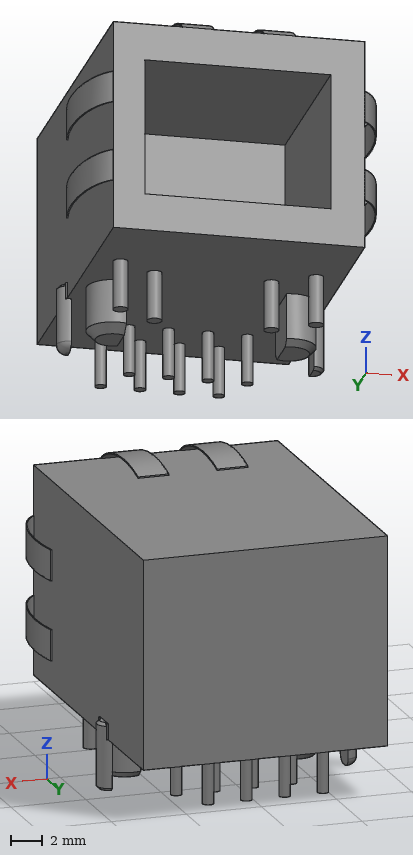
import cadquery as cq
import math

BODY_WIDTH = 16.25
BODY_DEPTH = 21.6
BODY_HEIGHT = 13.85

OPENING_WIDTH = 12.03
OPENING_HEIGHT = 9.02
OPENING_DEPTH = 12.95
OPENING_BASE = 2.42
OPENING_OFFSET = -0.09

FINGER_WIDTH = 2.05
FINGER_PITCH = 5.27
FINGER_LENGTH = 7.36
FINGER_THICKNESS = 0.09
FINGER_LONG_RADIUS = 5.27
TOP_FINGER_RISE = 1.27
TOP_FINGER_PEAK = 4.6
SIDE_FINGER_RISE = 1.6
SIDE_FINGER_PEAK = 5.0
SIDE_FINGER_CENTRE = 6.87

PEG_RADIUS = 1.68
PEG_FLAT = 0.55
PEG_X = 5.72
PEG_Y = 10.8
LEFT_PEG_CHAMFER = 0.58
RIGHT_PEG_CHAMFER = 0.4
PEG_LENGTH = 3.43

SHIELD_RADIUS = 0.78
SHIELD_FLAT_X = BODY_WIDTH / 2 - 0.28
SHIELD_Y = 13.88
SHIELD_TOP = 1.05
SHIELD_CHAMFER = 0.2
LEFT_SHIELD_FILLET = 0.58
PAD_WIDTH = 1.65
PAD_THICKNESS = 0.09

PIN_LENGTH = 3.22
SIGNAL_DIAMETER = 0.73
SIGNAL_COUNT = 8
SIGNAL_PITCH = 1.27
SIGNAL_ROWS = (19.7, 17.19)
LAMP_DIAMETER = 0.95
LAMP_OUTER_X = 6.33
LAMP_INNER_X = 3.78
LAMP_OUTER_Y = 5.9
LAMP_INNER_Y = 7.43


def housing():
    body = cq.Workplane("XY").box(
        BODY_WIDTH, BODY_DEPTH, BODY_HEIGHT, centered=(True, False, False)
    )
    opening = (
        cq.Workplane("XY")
        .box(OPENING_WIDTH, OPENING_DEPTH, OPENING_HEIGHT, centered=(True, False, False))
        .translate((OPENING_OFFSET, 0, OPENING_BASE))
    )
    return body.cut(opening)


def finger(rise, peak):
    """Finger on a wall at Z = 0, running along +Y from the front, centred on X."""
    drop_share = 1 - math.sqrt(1 - (peak / FINGER_LONG_RADIUS) ** 2)
    short_radius = rise / drop_share
    ring = (
        cq.Workplane("YZ")
        .ellipse(FINGER_LONG_RADIUS, short_radius)
        .ellipse(FINGER_LONG_RADIUS - FINGER_THICKNESS, short_radius - FINGER_THICKNESS)
        .extrude(FINGER_WIDTH)
        .translate((-FINGER_WIDTH / 2, peak, rise - short_radius))
    )
    kept_arc = (
        cq.Workplane("XY")
        .box(FINGER_WIDTH, FINGER_LENGTH, short_radius, centered=(True, False, False))
        .translate((0, 0, rise - short_radius))
    )
    return ring.intersect(kept_arc)


def flatted_post(radius, flat, bottom, top):
    """Upright post on the Z axis with a flat facing -X, at distance flat from the axis."""
    post = cq.Workplane("XY").circle(radius).extrude(top - bottom)
    keep = cq.Workplane("XY").box(
        radius + flat, 2 * radius, top - bottom, centered=(False, True, False)
    )
    return post.intersect(keep.translate((-flat, 0, 0))).translate((0, 0, bottom))


def peg(chamfer):
    post = flatted_post(PEG_RADIUS, PEG_FLAT, -PEG_LENGTH, 0)
    post = post.edges("<Z and %CIRCLE").chamfer(chamfer)
    return post.translate((PEG_X, PEG_Y, 0))


def shield_post():
    post = flatted_post(SHIELD_RADIUS, 0, -PEG_LENGTH, SHIELD_TOP)
    return post.edges(">Z and %CIRCLE").chamfer(SHIELD_CHAMFER)


def shield_pin(post):
    """Place a finished shield post against the +X wall and add its pad."""
    pad = cq.Workplane("XY").box(
        BODY_WIDTH / 2 + PAD_THICKNESS - SHIELD_FLAT_X,
        PAD_WIDTH,
        SHIELD_TOP,
        centered=(False, True, False),
    )
    return post.union(pad).translate((SHIELD_FLAT_X, SHIELD_Y, 0))


def solder_pin(diameter, x, y):
    return cq.Workplane("XY").center(x, y).circle(diameter / 2).extrude(-PIN_LENGTH)


result = housing()

for side in (-1, 1):
    shift = side * FINGER_PITCH / 2
    top_finger = finger(TOP_FINGER_RISE, TOP_FINGER_PEAK)
    result = result.union(top_finger.translate((shift, 0, BODY_HEIGHT)))
    side_finger = (
        finger(SIDE_FINGER_RISE, SIDE_FINGER_PEAK)
        .rotate((0, 0, 0), (0, 1, 0), 90)
        .translate((BODY_WIDTH / 2, 0, SIDE_FINGER_CENTRE + shift))
    )
    result = result.union(side_finger).union(side_finger.mirror("YZ"))

result = result.union(peg(RIGHT_PEG_CHAMFER)).union(peg(LEFT_PEG_CHAMFER).mirror("YZ"))

right_shield_post = shield_post().edges("<Z and %CIRCLE").chamfer(SHIELD_CHAMFER)
left_shield_post = shield_post().edges("<Z and %CIRCLE").fillet(LEFT_SHIELD_FILLET)
result = result.union(shield_pin(right_shield_post))
result = result.union(shield_pin(left_shield_post).mirror("YZ"))

for index in range(SIGNAL_COUNT):
    pin_x = (index - (SIGNAL_COUNT - 1) / 2) * SIGNAL_PITCH
    pin_y = SIGNAL_ROWS[index % 2]
    result = result.union(solder_pin(SIGNAL_DIAMETER, pin_x, pin_y))

for side in (-1, 1):
    result = result.union(solder_pin(LAMP_DIAMETER, side * LAMP_OUTER_X, LAMP_OUTER_Y))
    result = result.union(solder_pin(LAMP_DIAMETER, side * LAMP_INNER_X, LAMP_INNER_Y))